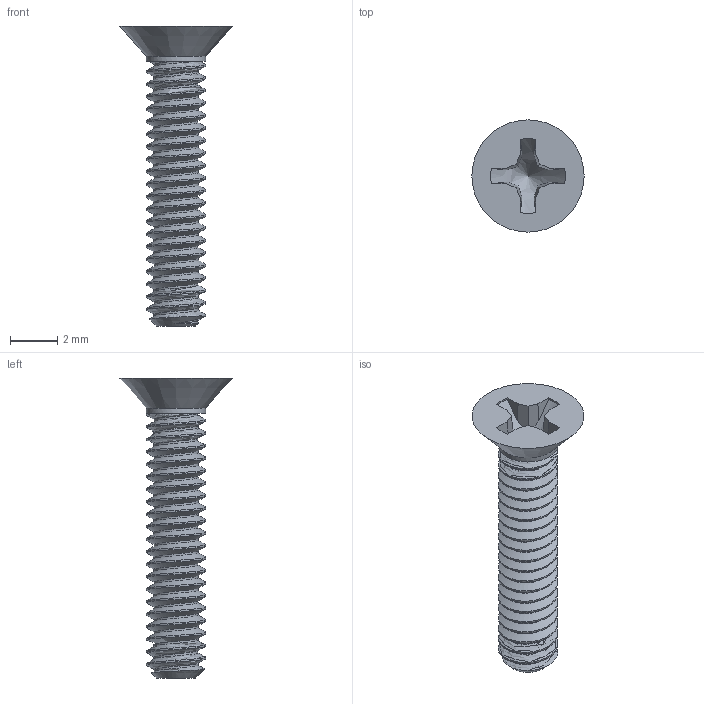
import cadquery as cq
import math


def tan_deg(angle):
    """Tangent of an angle in degrees."""
    return math.tan(math.radians(angle))


HEAD_DIAMETER = 4.75
HEAD_ANGLE = 82.0
SCREW_LENGTH = 12.7

MAJOR_DIAMETER = 2.515
COLLAR_BOTTOM_Z = -1.5
TIP_RADIUS = 0.84

THREAD_PITCH = 25.4 / 48
THREAD_ANGLE = 60.0
CREST_FLAT = THREAD_PITCH / 8
ROOT_FLAT = THREAD_PITCH / 6
THREAD_PHASE = 0.344
GROOVE_RUNOUT_TURNS = 2

RECESS_RADIUS = 1.586
ARM_HALF_WIDTH = 0.33
FLARE_START = 0.92
FLARE_ANGLE = 22.5
WALL_DRAFT = 5.0
END_WALL_DEPTH = 0.085
FLOOR_HALF_ANGLE = 40.5

MAJOR_RADIUS = MAJOR_DIAMETER / 2
HEAD_RADIUS = HEAD_DIAMETER / 2
HEAD_BOTTOM_Z = -(HEAD_RADIUS - MAJOR_RADIUS) / tan_deg(HEAD_ANGLE / 2)
RECESS_DEPTH = END_WALL_DEPTH + RECESS_RADIUS / tan_deg(FLOOR_HALF_ANGLE)


def turned(outline):
    """Solid of revolution about Z from (radius, z) points."""
    return cq.Workplane("XZ").polyline(outline).close().revolve(360, (0, 0), (0, 1))


def make_head():
    """Countersunk head with the plain collar below it."""
    return turned(
        [
            (0, 0),
            (HEAD_RADIUS, 0),
            (MAJOR_RADIUS, HEAD_BOTTOM_Z),
            (MAJOR_RADIUS, COLLAR_BOTTOM_Z),
            (0, COLLAR_BOTTOM_Z),
        ]
    )


def make_shank():
    """Plain shank below the collar, with the chamfered tip."""
    return turned(
        [
            (0, COLLAR_BOTTOM_Z),
            (MAJOR_RADIUS, COLLAR_BOTTOM_Z),
            (MAJOR_RADIUS, -SCREW_LENGTH + MAJOR_RADIUS - TIP_RADIUS),
            (TIP_RADIUS, -SCREW_LENGTH),
            (0, -SCREW_LENGTH),
        ]
    )


def make_thread_groove():
    """Helical trapezoidal groove, longer than the threaded length at both ends."""
    flank_slope = tan_deg(THREAD_ANGLE / 2)
    depth = (THREAD_PITCH - CREST_FLAT - ROOT_FLAT) / 2 / flank_slope
    root_radius = MAJOR_RADIUS - depth
    mouth_radius = MAJOR_RADIUS + CREST_FLAT / 4 / flank_slope
    root_half = ROOT_FLAT / 2
    mouth_half = root_half + (mouth_radius - root_radius) * flank_slope

    turns = math.ceil((SCREW_LENGTH + COLLAR_BOTTOM_Z) / THREAD_PITCH) + 2 * GROOVE_RUNOUT_TURNS
    whole_turns_down = math.ceil(SCREW_LENGTH / THREAD_PITCH) + GROOVE_RUNOUT_TURNS
    start_z = -THREAD_PHASE - whole_turns_down * THREAD_PITCH
    helix = cq.Wire.makeHelix(THREAD_PITCH, turns * THREAD_PITCH, root_radius)
    path = cq.Workplane(helix.translate(cq.Vector(0, 0, start_z)))
    section = [
        (root_radius, start_z - root_half),
        (mouth_radius, start_z - mouth_half),
        (mouth_radius, start_z + mouth_half),
        (root_radius, start_z + root_half),
    ]
    return cq.Workplane("XZ").polyline(section).close().sweep(path, isFrenet=True)


def make_recess_floor():
    """Turned envelope of the recess: short cylindrical end walls above a conical floor."""
    return turned(
        [
            (0, 0),
            (RECESS_RADIUS, 0),
            (RECESS_RADIUS, -END_WALL_DEPTH),
            (0, -RECESS_DEPTH),
        ]
    )


def cross_outline(inset):
    """Corner points of the cross with every flank moved inwards by the inset."""
    flare_slope = tan_deg(FLARE_ANGLE)
    half_width = ARM_HALF_WIDTH - inset
    flare_start = FLARE_START - inset * tan_deg(FLARE_ANGLE / 2)
    corner = (half_width + flare_start * flare_slope) / (1 + flare_slope)
    arm_end = 2 * RECESS_RADIUS
    arm = [
        (arm_end, -half_width),
        (arm_end, half_width),
        (flare_start, half_width),
        (corner, corner),
        (half_width, flare_start),
    ]
    outline = []
    for _ in range(4):
        outline.extend(arm)
        arm = [(-y, x) for x, y in arm]
    return outline


def make_recess():
    """Cross with drafted flanks that meet in sharp corners, bounded by the turned envelope."""
    bottom_inset = RECESS_DEPTH * tan_deg(WALL_DRAFT)
    cross = (
        cq.Workplane("XY")
        .polyline(cross_outline(0))
        .close()
        .workplane(offset=-RECESS_DEPTH)
        .polyline(cross_outline(bottom_inset))
        .close()
        .loft(ruled=True)
    )
    return cross.intersect(make_recess_floor())


def make_threaded_shank():
    """Full-length threaded rod, trimmed to the chamfered shank below the collar."""
    rod = cq.Workplane("XY").circle(MAJOR_RADIUS).extrude(-SCREW_LENGTH)
    return rod.cut(make_thread_groove()).intersect(make_shank())


result = make_head().union(make_threaded_shank()).cut(make_recess())